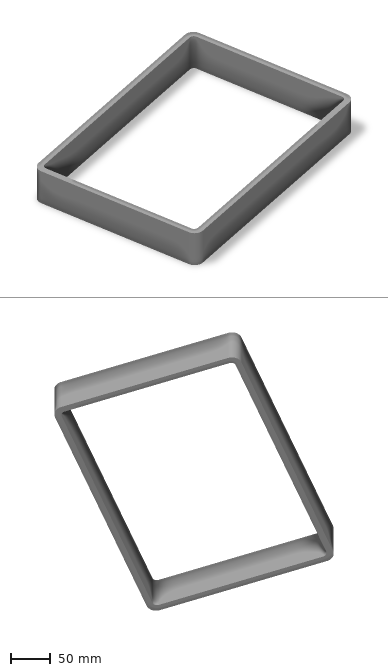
import cadquery as cq

length = 350.0
width = 250.0
height = 50.0

wall = 8.5
outer_radius = 12.5
inner_radius = 6.0


def rounded_block(size_x, size_y, corner_radius):
    """Full-height block with rounded vertical edges."""
    return cq.Workplane("XY").box(size_x, size_y, height).edges("|Z").fillet(corner_radius)


outer_block = rounded_block(width, length, outer_radius)
opening = rounded_block(width - 2 * wall, length - 2 * wall, inner_radius)

result = outer_block.cut(opening)